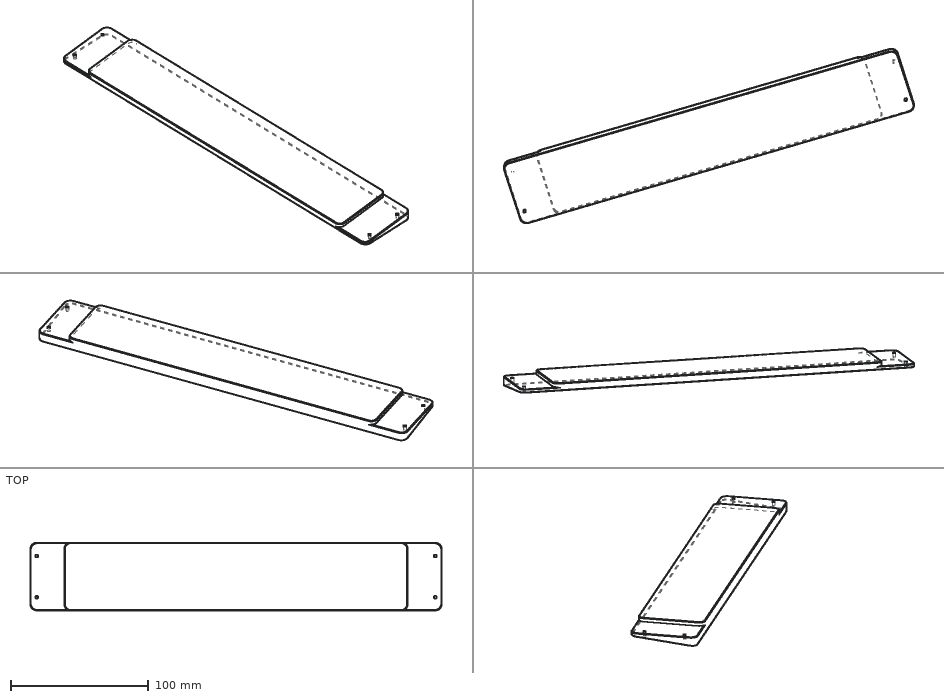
import cadquery as cq
import math

length = 299.5
width = 49.5
height = 10.2

shelf_height = 7.2
front_base = 4.5
shelf_length = 25.0
base_corner_radius = 5.0
panel_corner_radius = 4.5
rim_chamfer = 0.5

slope = math.atan2(front_base, width)
sharp_bottom = -rim_chamfer * math.sin(slope)

hole_diameter = 2.07
hole_end_distance = 4.8
hole_spacing = 30
hole_depth = 3


def rounded_plate(plate_length, corner_radius, bottom, top):
    """Centred full-width plate with rounded vertical corners."""
    return (
        cq.Workplane("XY", origin=(0, 0, bottom))
        .rect(plate_length, width)
        .extrude(top - bottom)
        .edges("|Z")
        .fillet(corner_radius)
    )


def wedge_envelope():
    """Full-length wedge whose underside drops from the front to the back."""
    profile = [
        (-width / 2, front_base),
        (width / 2, sharp_bottom),
        (width / 2, height),
        (-width / 2, height),
    ]
    return cq.Workplane("YZ").polyline(profile).close().extrude(length / 2, both=True)


def base_plate():
    """Tapered base with its top and bottom rims chamfered."""
    plate = rounded_plate(length, base_corner_radius, sharp_bottom, shelf_height)
    tapered = plate.intersect(wedge_envelope())
    return tapered.faces("<Z or >Z").edges().chamfer(rim_chamfer)


def raised_panel():
    """Panel with a chamfered top rim, sunk into the base to cover the base's chamfered rim."""
    panel_length = length - 2 * shelf_length
    panel = rounded_plate(panel_length, panel_corner_radius, shelf_height - rim_chamfer, height)
    return panel.faces(">Z").edges().chamfer(rim_chamfer)


def mounting_holes():
    """Four vertical blind drills, two near each end."""
    return (
        cq.Workplane("XY", origin=(0, 0, shelf_height - hole_depth))
        .rect(length - 2 * hole_end_distance, hole_spacing, forConstruction=True)
        .vertices()
        .circle(hole_diameter / 2)
        .extrude(hole_depth)
    )


result = base_plate().union(raised_panel()).cut(mounting_holes())